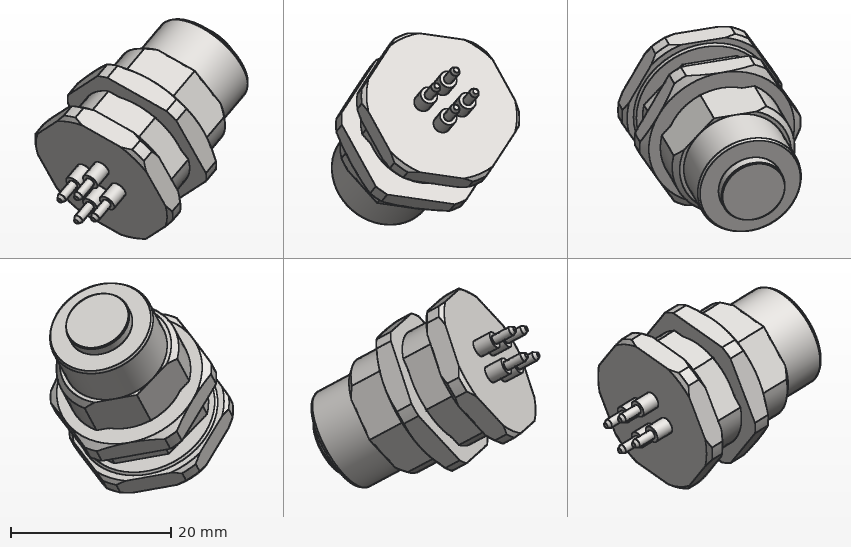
import cadquery as cq
import math


hex_across_flats = 19.0

flange_thickness = 2.75
flange_radius = 10.43
flange_chamfer = 0.5
collar_height = 0.27
collar_radius = 9.1
collar_top_radius = 8.8

body_end = 16.4
body_radius = 8.0
body_flat_distance = 6.75
body_flat_angles = (0, 45, 180, 225)
body_chamfer_length = 0.83
body_chamfer_depth = 0.72

nut_start = 7.75
nut_thickness = 2.8
nut_radius = 10.5
nut_bore_radius = 7.25
nut_chamfer_depth = 1.0
nut_chamfer_angle = 30.0

barrel_end = 22.65
barrel_radius = 6.75
barrel_chamfer_length = 0.35
barrel_chamfer_depth = 0.2
spigot_end = 24.1
spigot_radius = 8.3 / 2
spigot_chamfer_length = 0.2
spigot_chamfer_depth = 0.1

pin_count = 4
pin_circle_radius = 2.55
sleeve_radius = 2.2 / 2
sleeve_length = 2.5
pin_radius = 1.2 / 2
pin_length = 5.55
pin_tip_length = 0.5
pin_tip_radius = 0.35


def turned(profile):
    """Solid of revolution about Y from (radius, y) points, closed along the axis."""
    first_y = profile[0][1]
    last_y = profile[-1][1]
    points = [(0, first_y)] + profile + [(0, last_y)]
    return cq.Workplane("XY").polyline(points).close().revolve(360, (0, 0), (0, 1))


def hex_prism(start, thickness):
    """Hexagonal prism along +Y with two of its flats facing +Z and -Z."""
    across_corners = hex_across_flats / math.cos(math.pi / 6)
    prism = cq.Workplane("XZ").polygon(6, across_corners).extrude(-thickness)
    return prism.translate((0, start, 0))


def make_flange():
    face_radius = flange_radius - flange_chamfer
    envelope = turned([
        (face_radius, 0),
        (flange_radius, flange_chamfer),
        (flange_radius, flange_thickness - flange_chamfer),
        (face_radius, flange_thickness),
    ])
    collar = turned([
        (collar_radius, flange_thickness),
        (collar_top_radius, flange_thickness + collar_height),
    ])
    return hex_prism(0, flange_thickness).intersect(envelope).union(collar)


def make_body():
    body = turned([
        (body_radius, 0),
        (body_radius, body_end - body_chamfer_length),
        (body_radius - body_chamfer_depth, body_end),
    ])
    cutter = cq.Workplane("XY").box(
        2 * body_radius, body_end, body_radius, centered=(True, False, False)
    )
    cutter = cutter.translate((0, 0, body_flat_distance))
    for angle in body_flat_angles:
        body = body.cut(cutter.rotate((0, 0, 0), (0, 1, 0), angle))
    return body


def make_nut():
    """Lock nut that bites into the round body like a thread and leaves gaps over its flats."""
    nut_end = nut_start + nut_thickness
    chamfer_length = nut_chamfer_depth * math.tan(math.radians(nut_chamfer_angle))
    envelope = turned([
        (nut_radius, nut_start),
        (nut_radius, nut_end - chamfer_length),
        (nut_radius - nut_chamfer_depth, nut_end),
    ])
    bore = turned([(nut_bore_radius, nut_start), (nut_bore_radius, nut_end)])
    return hex_prism(nut_start, nut_thickness).intersect(envelope).cut(bore)


def make_mating_end():
    return turned([
        (barrel_radius, body_end),
        (barrel_radius, barrel_end - barrel_chamfer_length),
        (barrel_radius - barrel_chamfer_depth, barrel_end),
        (spigot_radius, barrel_end),
        (spigot_radius, spigot_end - spigot_chamfer_length),
        (spigot_radius - spigot_chamfer_depth, spigot_end),
    ])


def make_pin():
    return turned([
        (sleeve_radius, 0),
        (sleeve_radius, -sleeve_length),
        (pin_radius, -sleeve_length),
        (pin_radius, pin_tip_length - pin_length),
        (pin_tip_radius, -pin_length),
    ])


result = make_flange().union(make_body()).union(make_nut())
result = result.union(make_mating_end())
pin = make_pin().translate((pin_circle_radius, 0, 0))
for index in range(pin_count):
    result = result.union(pin.rotate((0, 0, 0), (0, 1, 0), index * 360 / pin_count))